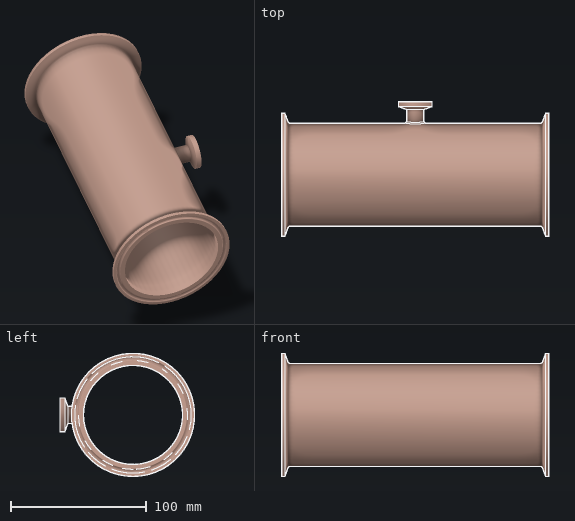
import cadquery as cq
import math

length = 196.8
tube_outer_d = 76.2
tube_bore_d = 72.8

flange_d = 91.0
flange_rim_width = 2.4
flange_root_radius = 1.4
groove_mid_d = 83.0
groove_width = 3.0
groove_depth = 1.2
groove_lip_radius = 0.4

overall_y = 99.5
port_tip_y = overall_y - flange_d / 2
port_flange_d = 25.0
port_rim_width = 3.7
port_groove_outer_d = 21.9
port_groove_width = 2.4
port_groove_depth = 0.8
port_neck_d = 12.8
port_bore_d = 9.5
port_weld_size = 1.0

clamp_angle = 20


def flange_thickness(outer_d, root_d, rim_width):
    """Length of a clamp flange from its flat face to the small end of its cone."""
    return rim_width + (outer_d - root_d) / 2 * math.tan(math.radians(clamp_angle))


def clamp_flange(outer_d, root_d, rim_width):
    """Flange about Z with its flat face at Z = 0 and its back tapering down to root_d."""
    outer_r = outer_d / 2
    root_r = root_d / 2
    back_z = -flange_thickness(outer_d, root_d, rim_width)
    return (
        cq.Workplane("XZ")
        .polyline([(0, 0), (outer_r, 0), (outer_r, -rim_width), (root_r, back_z), (0, back_z)])
        .close()
        .revolve(360, (0, 0), (0, 1))
    )


def gasket_groove(mid_d, width, depth):
    """Ring with a round bottom, about Z, that cuts a gasket seat into a face at Z = 0."""
    mid_r = mid_d / 2
    return (
        cq.Workplane("XZ")
        .moveTo(mid_r - width / 2, 0)
        .threePointArc((mid_r, -depth), (mid_r + width / 2, 0))
        .close()
        .revolve(360, (0, 0), (0, 1))
    )


def rings_within(radius, z, tolerance=0.1):
    """Selector for circular edges about Z, at height z, that are no larger than the radius."""
    return cq.selectors.BoxSelector(
        (-radius - tolerance, -radius - tolerance, z - tolerance),
        (radius + tolerance, radius + tolerance, z + tolerance),
        boundingbox=True,
    )


def tube_half():
    """Half of the solid main body, about Z, with its end face at Z = 0."""
    tube = cq.Workplane("XY").circle(tube_outer_d / 2).extrude(-length / 2)
    half = tube.union(clamp_flange(flange_d, tube_outer_d, flange_rim_width))
    root_z = -flange_thickness(flange_d, tube_outer_d, flange_rim_width)
    half = half.edges(rings_within(tube_outer_d / 2, root_z)).fillet(flange_root_radius)
    half = half.cut(gasket_groove(groove_mid_d, groove_width, groove_depth))
    groove_outer_r = (groove_mid_d + groove_width) / 2
    return half.edges(rings_within(groove_outer_r, 0)).fillet(groove_lip_radius)


def side_port():
    """Solid port about Z, with its end face at Z = 0 and its neck reaching the tube axis."""
    neck = cq.Workplane("XY").circle(port_neck_d / 2).extrude(-port_tip_y)
    port = neck.union(clamp_flange(port_flange_d, port_neck_d, port_rim_width))
    port_groove_mid_d = port_groove_outer_d - port_groove_width
    return port.cut(gasket_groove(port_groove_mid_d, port_groove_width, port_groove_depth))


right_half = tube_half().rotate((0, 0, 0), (0, 1, 0), 90).translate((length / 2, 0, 0))
body = right_half.union(right_half.mirror("YZ"))

port = side_port().rotate((0, 0, 0), (1, 0, 0), -90).translate((0, port_tip_y, 0))
body = body.union(port)
tube_outer_r = tube_outer_d / 2
weld_box = cq.selectors.BoxSelector(
    (-port_neck_d, tube_outer_r - port_weld_size, -port_neck_d),
    (port_neck_d, tube_outer_r + port_weld_size, port_neck_d),
)
body = body.edges(weld_box).chamfer(port_weld_size)

tube_bore = cq.Workplane("YZ").circle(tube_bore_d / 2).extrude(length / 2, both=True)
port_bore = cq.Workplane("XZ").circle(port_bore_d / 2).extrude(-port_tip_y)
result = body.cut(tube_bore).cut(port_bore)